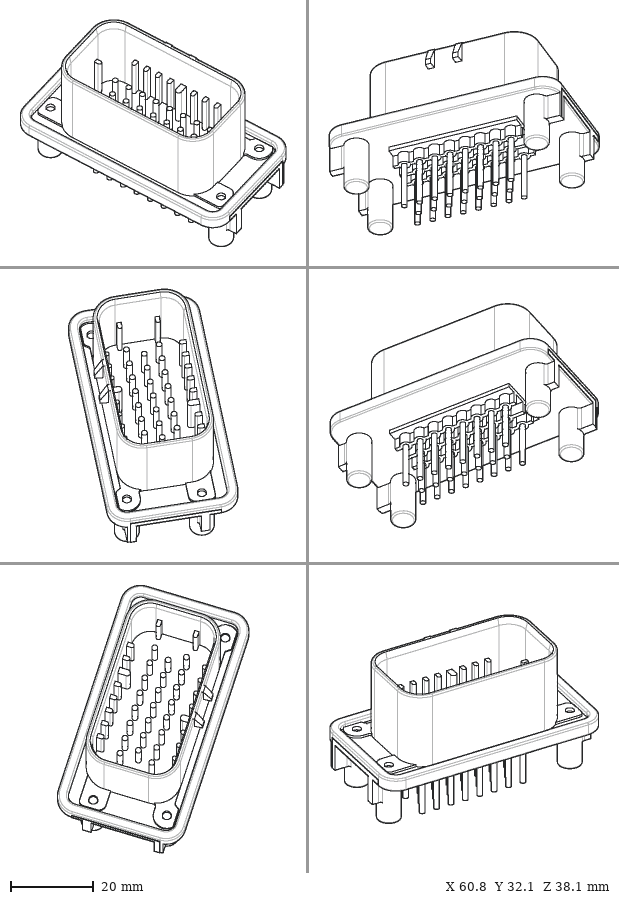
import cadquery as cq

overall_length = 60.8
end_pad_height = 1.9
end_pad_thickness = 0.1
flange_length = overall_length - 2 * end_pad_thickness
flange_width = 32.1
flange_height = 3.4
flange_corner = 4.9
top_rounding = 0.4
bottom_rounding = 0.35

rim_width = 2.1
recess_floor = 1.9
lip_rounding = 0.5

shroud_length = 43.55
shroud_width = 23.6
shroud_top = 21.9
shroud_corner = 6.2
shroud_wall = 1.45
shroud_rounding = 0.4
mouth_wall = 1.0
mouth_depth = 1.9
cavity_floor = 1.5

pad_top = 2.5
pad_radius = 3.3
pad_blend = 0.5
back_pad_edge = 13.1
back_pad_inner_x = 20.25
back_pad_outer_x = 21.35
front_pad_outer_x = 27.3
front_pad_back_y = -3.95
front_pad_front_y = -10.45
front_pad_back_corner = 1.8
front_pad_front_corner = 1.2
pad_hole_diameter = 2.2
pad_hole_depth = 0.9

back_post = (23.65, 10.8)
front_post = (25.2, -7.3)
post_radius = 3.05
post_length = 12.45
post_rounding = 0.4
tab_width = 2.2
tab_length = 6.6
tab_fillet = 1.0

long_row_count = 8
short_row_count = 7
long_row_span = 28.0
pin_pitch = long_row_span / (long_row_count - 1)
row_spacing = pin_pitch
pin_rows = (
    (row_spacing, long_row_count),
    (0, short_row_count),
    (-row_spacing, long_row_count),
)
pin_diameter = 1.4
pin_top = 9.2
pin_bottom = -16.2

support_length = 33.55
support_width = 14.0
support_plate_bottom = -1.1
sleeve_bottom = -4.1
sleeve_diameter = 3.0
sleeve_web = 1.05

key_count = 8
key_pitch = 3.45
key_top = 11.7
key_width = 1.1
key_reach = 1.7
wide_key_width = 1.6
wide_key_reach = 2.9
back_wide_key = 4
front_wide_key = 2
side_key_y = 4.7

latch_x = 3.6
latch_reach = 2.0
latch_base_width = 1.8
latch_tip_width = 1.4
latch_bottom = shroud_top - 5.4
latch_shoulder = shroud_top - 3.95


def rounded_block(length, width, corner, bottom, top):
    """Upright block with rounded vertical edges, centred on the Z axis."""
    block = cq.Workplane("XY", origin=(0, 0, bottom)).rect(length, width).extrude(top - bottom)
    return block.edges("|Z").fillet(corner)


def cylinder(x, y, diameter, bottom, top):
    return cq.Workplane("XY", origin=(x, y, bottom)).circle(diameter / 2).extrude(top - bottom)


def bar(x_min, x_max, y_min, y_max, bottom, top):
    size = (x_max - x_min, y_max - y_min, top - bottom)
    return cq.Workplane("XY").box(*size, centered=False).translate((x_min, y_min, bottom))


def with_mirror(solid):
    """The solid together with its mirror image across the YZ plane."""
    return solid.union(solid.mirror("YZ"))


def centred_places(count, pitch):
    return [(i - (count - 1) / 2) * pitch for i in range(count)]


def flange():
    plate = rounded_block(flange_length, flange_width, flange_corner, 0, flange_height)
    plate = plate.faces(">Z").edges().fillet(top_rounding)
    plate = plate.faces("<Z").edges().fillet(bottom_rounding)
    length = flange_length - 2 * (rim_width + lip_rounding)
    width = flange_width - 2 * (rim_width + lip_rounding)
    corner = flange_corner - rim_width - lip_rounding
    recess = rounded_block(length, width, corner, recess_floor, flange_height)
    plate = plate.cut(recess)
    lip = min(plate.faces(">Z").wires().vals(), key=lambda wire: wire.Length())
    return plate.newObject(lip.Edges()).fillet(lip_rounding)


def end_pads(bottom):
    """Slab spanning the flange that stands proud of its two flat end faces."""
    half = flange_width / 2 - flange_corner
    return bar(-overall_length / 2, overall_length / 2, -half, half, bottom, end_pad_height)


def pads():
    back_x, back_y = back_post
    low_y = back_y - pad_radius
    wall_x = shroud_length / 2
    corner_x = wall_x - shroud_corner
    disc = cylinder(-back_x, back_y, 2 * pad_radius, recess_floor, pad_top)
    bridge = (
        cq.Workplane("XY", origin=(0, 0, recess_floor))
        .moveTo(-back_x, low_y)
        .lineTo(-wall_x - pad_blend, low_y)
        .radiusArc((-wall_x, low_y - pad_blend), pad_blend)
        .lineTo(-corner_x, low_y - pad_blend)
        .lineTo(-corner_x, shroud_width / 2)
        .lineTo(-back_pad_inner_x, shroud_width / 2)
        .lineTo(-back_pad_outer_x, back_pad_edge)
        .lineTo(-back_x, back_pad_edge)
        .close()
        .extrude(pad_top - recess_floor)
    )
    trim = bar(-flange_length, 0, back_pad_edge, flange_width, recess_floor, pad_top)
    back = disc.cut(trim).union(bridge)

    front = bar(-front_pad_outer_x, -corner_x, front_pad_front_y, front_pad_back_y,
                recess_floor, pad_top)
    front = front.edges("|Z and <X and >Y").fillet(front_pad_back_corner)
    front = front.edges("|Z and <X and <Y").fillet(front_pad_front_corner)
    return with_mirror(back.union(front))


def pad_holes():
    holes = cq.Workplane("XY")
    for x, y in (back_post, front_post):
        holes = holes.union(cylinder(-x, y, pad_hole_diameter, pad_top - pad_hole_depth, flange_height))
    return with_mirror(holes)


def shroud():
    return (
        rounded_block(shroud_length, shroud_width, shroud_corner, recess_floor, shroud_top)
        .faces(">Z").edges().fillet(shroud_rounding)
    )


def cavity():
    length = shroud_length - 2 * shroud_wall
    width = shroud_width - 2 * shroud_wall
    corner = shroud_corner - shroud_wall
    flare = shroud_wall - mouth_wall
    space = rounded_block(length, width, corner, cavity_floor, shroud_top)
    lower = cq.Sketch().rect(length, width).vertices().fillet(corner)
    upper = cq.Sketch().rect(length + 2 * flare, width + 2 * flare).vertices().fillet(corner + flare)
    mouth = (
        cq.Workplane("XY", origin=(0, 0, shroud_top - mouth_depth))
        .placeSketch(lower, upper.moved(cq.Location(cq.Vector(0, 0, mouth_depth))))
        .loft()
    )
    return space.union(mouth)


def key(width, reach):
    """Rib with a rounded nose, rooted in a wall at Y = 0 and reaching towards -Y."""
    half = width / 2
    return (
        cq.Workplane("XY", origin=(0, 0, cavity_floor))
        .moveTo(-half, shroud_wall / 2)
        .lineTo(-half, half - reach)
        .threePointArc((0, -reach), (half, half - reach))
        .lineTo(half, shroud_wall / 2)
        .close()
        .extrude(key_top - cavity_floor)
    )


def keys():
    wall_x = shroud_length / 2 - shroud_wall
    wall_y = shroud_width / 2 - shroud_wall
    plain = key(key_width, key_reach)
    wide = key(wide_key_width, wide_key_reach)
    ribs = cq.Workplane("XY")
    for i, x in enumerate(centred_places(key_count, key_pitch)):
        back = wide if i == back_wide_key else plain
        front = wide if i == front_wide_key else plain
        ribs = ribs.union(back.translate((x, wall_y, 0)))
        ribs = ribs.union(front.mirror("XZ").translate((x, -wall_y, 0)))
    left = plain.rotate((0, 0, 0), (0, 0, 1), 90)
    for y in (-side_key_y, side_key_y):
        ribs = ribs.union(with_mirror(left.translate((-wall_x, y, 0))))
    return ribs


def latches():
    wall_y = shroud_width / 2
    root_y = wall_y - shroud_rounding
    tip_y = wall_y + latch_reach
    wedge = (
        cq.Workplane("YZ", origin=(-latch_base_width, 0, 0))
        .polyline([(root_y, latch_bottom), (tip_y, latch_bottom), (tip_y, latch_shoulder),
                   (wall_y, shroud_top), (root_y, shroud_top)])
        .close()
        .extrude(2 * latch_base_width)
    )
    plan = (
        cq.Workplane("XY", origin=(0, 0, latch_bottom))
        .polyline([(-latch_base_width / 2, root_y), (latch_base_width / 2, root_y),
                   (latch_tip_width / 2, tip_y), (-latch_tip_width / 2, tip_y)])
        .close()
        .extrude(shroud_top - latch_bottom)
    )
    return with_mirror(wedge.intersect(plan).translate((-latch_x, 0, 0)))


def post_with_tab(x, y):
    """Post on the -X side with a tab reaching out to the end face of the flange."""
    post = cylinder(-x, y, 2 * post_radius, -post_length, recess_floor)
    post = post.faces("<Z").edges().fillet(post_rounding)
    half = tab_width / 2
    tab = bar(-overall_length / 2, -x, y - half, y + half, -tab_length, recess_floor)
    outline = rounded_block(flange_length, flange_width, flange_corner, -tab_length, recess_floor)
    outline = outline.union(end_pads(-tab_length))
    joined = post.union(tab.intersect(outline))
    corner_x = -x - (post_radius**2 - half**2) ** 0.5
    margin = tab_width / 10
    corners = cq.selectors.BoxSelector((corner_x - margin, y - tab_width, -tab_length),
                                       (corner_x + margin, y + tab_width, recess_floor))
    return joined.edges("|Z").edges(corners).fillet(tab_fillet)


def pin_positions():
    return [(x, y) for y, count in pin_rows for x in centred_places(count, pin_pitch)]


def pin_support():
    half = support_length / 2
    plate = bar(-half, half, -support_width / 2, support_width / 2, support_plate_bottom, 0)
    for y, _ in pin_rows:
        web = bar(-half, half, y - sleeve_web / 2, y + sleeve_web / 2, sleeve_bottom, 0)
        plate = plate.union(web)
    for x, y in pin_positions():
        plate = plate.union(cylinder(x, y, sleeve_diameter, sleeve_bottom, 0))
    return plate


def pins():
    group = cq.Workplane("XY")
    for x, y in pin_positions():
        group = group.union(cylinder(x, y, pin_diameter, pin_bottom, pin_top))
    return group


posts = with_mirror(post_with_tab(*back_post).union(post_with_tab(*front_post)))

result = (
    flange()
    .union(end_pads(bottom_rounding))
    .union(pads())
    .union(shroud())
    .union(latches())
    .union(posts)
    .cut(pad_holes())
    .cut(cavity())
    .union(keys())
    .union(pin_support())
    .union(pins())
)